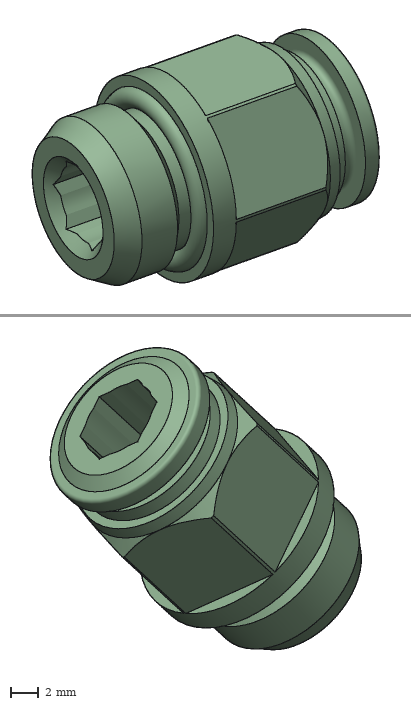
import cadquery as cq
import math

lead_chamfer_end = 1.77
thread_end = 4.9
relief_start = 5.69
seal_start = 6.35
flange_start = 7.08
flange_end = 9.09
collar_start = 18.0
collar_end = 19.0
ring_end = 20.01
cap_start = 21.25
cap_shoulder = 22.6
total_length = 23.3

flange_diameter = 16.0
flange_radius = flange_diameter / 2
thread_radius = 6.52
relief_radius = 5.5
seal_radius = 7.15
collar_tip_radius = 6.8
ring_base_radius = 6.1
ring_tip_radius = 5.95
neck_radius = 5.0
cap_radius = 6.75
cap_crown_radius = 5.85
cap_face_radius = 4.85

cap_edge_round = 0.3
neck_fillet = 0.5

hex_flats = 13.98
hex_chamfer_length = 1.05

key_flats = 5.96
pilot_radius = 3.08
mouth_radius = 3.98
mouth_depth = 0.93


def hex_prism(across_flats, start, end):
    """Hexagonal bar along Y."""
    corner_diameter = across_flats / math.cos(math.pi / 6)
    plane = cq.Plane(origin=(0, start, 0), xDir=(1, 0, 0), normal=(0, 1, 0))
    return cq.Workplane(plane).polygon(6, corner_diameter).extrude(end - start)


def revolve_profile(profile):
    """Turn a closed (radius, Y) outline about the Y axis."""
    return profile.close().revolve(360, (0, 0, 0), (0, 1, 0))


def threaded_end():
    """Thread spigot, undercut, rounded seal bead and flange."""
    profile = (
        cq.Workplane("XY")
        .moveTo(0, 0)
        .lineTo(relief_radius, 0)
        .lineTo(thread_radius, lead_chamfer_end)
        .lineTo(thread_radius, thread_end)
        .lineTo(relief_radius, relief_start)
        .lineTo(relief_radius, flange_start)
        .threePointArc(((relief_radius + seal_radius) / 2, seal_start), (seal_radius, flange_start))
        .lineTo(flange_radius, flange_start)
        .lineTo(flange_radius, flange_end)
        .lineTo(0, flange_end)
    )
    return revolve_profile(profile)


def wrench_section():
    """Hexagon whose corners are trimmed by a turned cylinder and cone."""
    envelope = revolve_profile(
        cq.Workplane("XY")
        .moveTo(0, flange_end)
        .lineTo(flange_radius, flange_end)
        .lineTo(flange_radius, collar_start - hex_chamfer_length)
        .lineTo(hex_flats / 2, collar_start)
        .lineTo(0, collar_start)
    )
    return hex_prism(hex_flats, flange_end, collar_start).intersect(envelope)


def release_end():
    """Tapered collar and ring, filleted neck and rounded release cap."""
    round_middle = cap_edge_round * math.sqrt(0.5)
    round_center_radius = cap_radius - cap_edge_round
    round_center_station = cap_shoulder - cap_edge_round
    profile = (
        cq.Workplane("XY")
        .moveTo(0, collar_start)
        .lineTo(hex_flats / 2, collar_start)
        .lineTo(collar_tip_radius, collar_end)
        .lineTo(ring_base_radius, collar_end)
        .lineTo(ring_tip_radius, ring_end)
        .lineTo(neck_radius, ring_end)
        .lineTo(neck_radius, cap_start - neck_fillet)
        .tangentArcPoint((neck_radius + neck_fillet, cap_start), relative=False)
        .lineTo(cap_radius, cap_start)
        .lineTo(cap_radius, round_center_station)
        .threePointArc(
            (round_center_radius + round_middle, round_center_station + round_middle),
            (round_center_radius, cap_shoulder),
        )
        .lineTo(cap_crown_radius, cap_shoulder)
        .lineTo(cap_face_radius, total_length)
        .lineTo(0, total_length)
    )
    return revolve_profile(profile)


def key_bore():
    """Through hexagon bore with a round pilot and a cone at the threaded end."""
    mouth = revolve_profile(
        cq.Workplane("XY")
        .moveTo(0, 0)
        .lineTo(mouth_radius, 0)
        .lineTo(key_flats / 2, mouth_depth)
        .lineTo(0, mouth_depth)
    )
    pilot = revolve_profile(
        cq.Workplane("XY")
        .moveTo(0, 0)
        .lineTo(pilot_radius, 0)
        .lineTo(pilot_radius, total_length)
        .lineTo(0, total_length)
    )
    return hex_prism(key_flats, 0, total_length).union(pilot).union(mouth)


body = threaded_end().union(wrench_section()).union(release_end())
result = body.cut(key_bore())